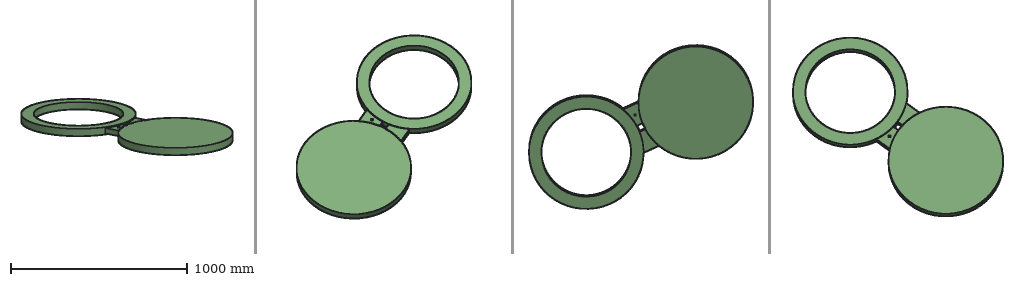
import cadquery as cq

overall_length = 1337.0
plate_diameter = 651.0
plate_thickness = 44.0
bore_diameter = 508.0

web_width = 278.0
web_thickness = 33.0
web_slot_width = 37.0
hole_diameter = 8.0
countersink_diameter = 13.0
countersink_depth = 1.0

plate_offset = (overall_length - plate_diameter) / 2
bar_width = (web_width - web_slot_width) / 2
bar_offset = (web_slot_width + bar_width) / 2


def cylinder(diameter, height, x, y):
    """Upright cylinder centred on the mid-plane of the part."""
    base = cq.Workplane("XY").workplane(offset=-height / 2)
    return base.center(x, y).circle(diameter / 2).extrude(height)


def web_bar(y):
    """Connecting bar that runs between the centres of the two plates."""
    return cq.Workplane("XY").box(2 * plate_offset, bar_width, web_thickness).translate((0, y, 0))


def countersink(x, y):
    """Shallow cone that opens out to the top face of the web."""
    rim = cq.Workplane("XY").workplane(offset=web_thickness / 2).center(x, y).circle(countersink_diameter / 2)
    return rim.workplane(offset=-countersink_depth).circle(hole_diameter / 2).loft()


ring_blank = cylinder(plate_diameter, plate_thickness, -plate_offset, 0)
disc = cylinder(plate_diameter, plate_thickness, plate_offset, 0)
bore = cylinder(bore_diameter, plate_thickness, -plate_offset, 0)
hole = cylinder(hole_diameter, web_thickness, 0, -bar_offset)

body = ring_blank.union(disc)
for side in (-1, 1):
    body = body.union(web_bar(side * bar_offset))

result = body.cut(bore).cut(hole).cut(countersink(0, -bar_offset))